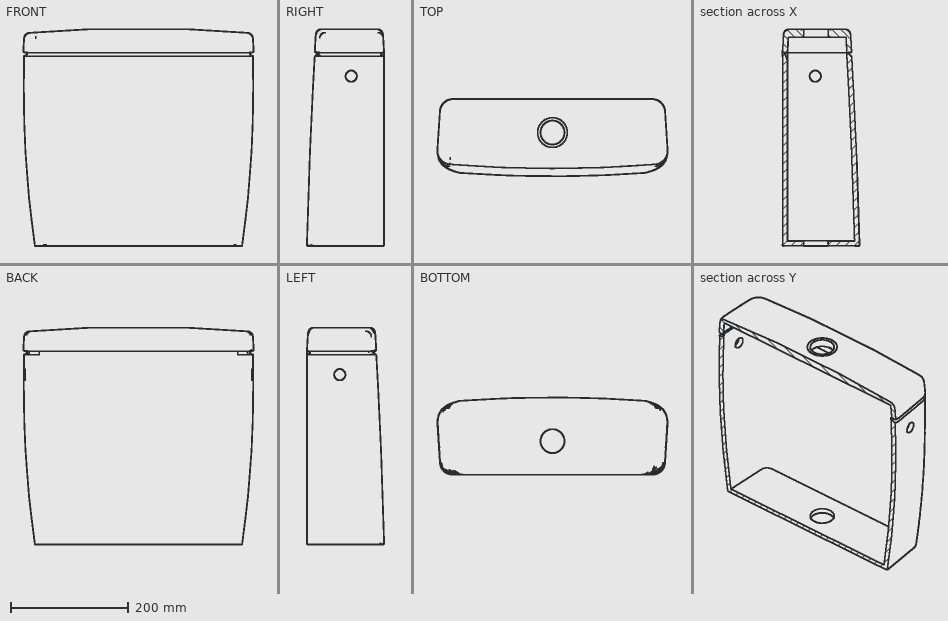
import cadquery as cq
import math


TANK_TOP = 330.0
TANK_HALF_WIDTH = 196.0
TANK_FOOT_NARROWING = 19.5
SIDE_STRAIGHT_FROM = 266.0
DEPTH_AT_FOOT = 132.0
DEPTH_AT_MIDDLE = 126.5
DEPTH_AT_TOP = 118.5
WALL = 9.0
FOOT_ROUNDING = 2.5
RIM_COVE_RADIUS = 6.0
MOUTH_FLARE_HEIGHT = 13.5
MOUTH_FLARE_WIDTH = 4.7

FRONT_BOW_RADIUS = 2162.5
SIDE_SPLAY = 0.06
CORNER_RADIUS = 22.0
BOW_TURN = 20
SPLAY_DEPTH = 94.5

TOP = 370.0
LID_HALF_WIDTH = 196.5
LID_DEPTH = 118.7
LID_DRAFT = 0.06
LID_TOP_ROUNDING = 10.2
LID_BOTTOM_ROUNDING = 3.0
LID_ROOF_THICKNESS = 14.0
ROOF_FLAT_HALF_LENGTH = 83.5
ROOF_SLOPE_RUN = 17.5
ROOF_CROWN_RADIUS = 1179.5
ROOF_BORDER_ABOVE = 358

BUTTON_DIAMETER = 40.5
BUTTON_SEAT_DIAMETER = 50.7
BUTTON_SEAT_DEPTH = 0.5
BUTTON_Y = -57.5
INLET_DIAMETER = 19.0
INLET_Y = -56.2
INLET_Z = 289.8

UPRIGHT_MIN_HEIGHT = 15.7
OVERSIZE = 39.5


def bore(plane, centre, diameter, length):
    """Cylinder of the given total length, half of it on either side of the plane."""
    return cq.Workplane(plane).center(*centre).circle(diameter / 2).extrude(length / 2, both=True)


def front_profile(half_width, y, bottom, top):
    """Outline in a plane of constant y, with sides that curve in toward the foot."""
    side_radius = (SIDE_STRAIGHT_FROM**2 + TANK_FOOT_NARROWING**2) / (2 * TANK_FOOT_NARROWING)

    def side(z):
        below = max(SIDE_STRAIGHT_FROM - z, 0)
        return half_width - side_radius + math.sqrt(side_radius**2 - below**2)

    middle = (bottom + SIDE_STRAIGHT_FROM) / 2
    return (
        cq.Workplane("XZ", origin=(0, y, 0))
        .moveTo(-side(bottom), bottom)
        .lineTo(side(bottom), bottom)
        .threePointArc((side(middle), middle), (half_width, SIDE_STRAIGHT_FROM))
        .lineTo(half_width, top)
        .lineTo(-half_width, top)
        .lineTo(-half_width, SIDE_STRAIGHT_FROM)
        .threePointArc((-side(middle), middle), (-side(bottom), bottom))
        .close()
        .val()
    )


def is_upright(edge):
    """True for the edges that climb a corner of a body."""
    return edge.BoundingBox().zlen > UPRIGHT_MIN_HEIGHT


def tank_block(inset, bottom, top):
    """Solid of the tank's shape, drawn in by `inset` on its four sides."""
    reach = DEPTH_AT_FOOT + OVERSIZE
    half_at_back = TANK_HALF_WIDTH - SPLAY_DEPTH * SIDE_SPLAY - inset
    back_profile = front_profile(half_at_back, -inset, bottom, top)
    far_profile = front_profile(half_at_back + reach * SIDE_SPLAY, -reach, bottom, top)
    splayed = cq.Workplane(cq.Solid.makeLoft([back_profile, far_profile], True))
    bow_axis_y = FRONT_BOW_RADIUS - DEPTH_AT_FOOT
    bowed = (
        cq.Workplane("YZ")
        .lineTo(inset - DEPTH_AT_FOOT, 0)
        .threePointArc((inset - DEPTH_AT_MIDDLE, TANK_TOP / 2), (inset - DEPTH_AT_TOP, TANK_TOP))
        .lineTo(0, TANK_TOP)
        .close()
        .revolve(BOW_TURN, (bow_axis_y, 0), (bow_axis_y, 1))
        .rotate((0, bow_axis_y, 0), (0, bow_axis_y, 1), -BOW_TURN / 2)
    )
    block = splayed.intersect(bowed)
    return block.edges().filter(is_upright).fillet(CORNER_RADIUS - inset)


def rim_cove(block):
    """Round-bottomed step along the front, sides and corners of the tank's top edge."""
    rim_edges = block.faces(">Z").edges("not >Y").vals()
    path = cq.Wire.assembleEdges(rim_edges)
    start = path.startPoint()
    return (
        cq.Workplane(cq.Plane(start, normal=path.tangentAt(0)))
        .circle(RIM_COVE_RADIUS)
        .sweep(cq.Workplane(path))
    )


def mouth_flare():
    """Wedge that slopes the top of the tank's back wall away from the cavity."""
    half_length = TANK_HALF_WIDTH - SPLAY_DEPTH * SIDE_SPLAY - CORNER_RADIUS
    return (
        cq.Workplane("YZ")
        .moveTo(-WALL, TANK_TOP - MOUTH_FLARE_HEIGHT)
        .lineTo(-WALL, TANK_TOP)
        .lineTo(MOUTH_FLARE_WIDTH - WALL, TANK_TOP)
        .close()
        .extrude(half_length, both=True)
    )


def make_tank():
    block = tank_block(0, 0, TANK_TOP)
    return (
        block.faces("<Z")
        .edges()
        .fillet(FOOT_ROUNDING)
        .cut(tank_block(WALL, WALL, TANK_TOP))
        .cut(rim_cove(block))
        .cut(mouth_flare())
        .cut(bore("YZ", (INLET_Y, INLET_Z), INLET_DIAMETER, 3 * TANK_HALF_WIDTH))
        .cut(bore("XY", (0, BUTTON_Y), BUTTON_DIAMETER, TANK_TOP))
    )


def lid_outline(inset, z):
    """Closed outline at height z: straight back, splayed sides and bowed front."""
    half_at_back = LID_HALF_WIDTH - SPLAY_DEPTH * SIDE_SPLAY - inset
    half_at_front = half_at_back + LID_DEPTH * SIDE_SPLAY
    bow = FRONT_BOW_RADIUS - math.sqrt(FRONT_BOW_RADIUS**2 - half_at_front**2)
    front = inset - LID_DEPTH
    return (
        cq.Workplane("XY", origin=(0, 0, z))
        .moveTo(-half_at_back, -inset)
        .lineTo(-half_at_front, front + bow)
        .threePointArc((0, front), (half_at_front, front + bow))
        .lineTo(half_at_back, -inset)
        .close()
        .val()
    )


def lid_block(inset, bottom, top):
    """Drafted solid of the lid's shape, drawn in by `inset` on its four sides."""
    lean = LID_DRAFT * (top - bottom)
    outlines = [lid_outline(inset, bottom), lid_outline(inset + lean, top)]
    block = cq.Workplane(cq.Solid.makeLoft(outlines, True))
    return block.edges().filter(is_upright).fillet(CORNER_RADIUS - inset)


def roof_slope(side):
    """Crowned cylinder whose top line falls from the flat middle of the roof to one end."""
    slope_angle = math.degrees(math.atan(1 / ROOF_SLOPE_RUN))
    ridge = cq.Workplane("YZ").circle(ROOF_CROWN_RADIUS).extrude(LID_HALF_WIDTH * 2, both=True)
    return (
        ridge.translate((0, BUTTON_Y, -ROOF_CROWN_RADIUS))
        .rotate((0, 0, 0), (0, 1, 0), side * slope_angle)
        .translate((side * ROOF_FLAT_HALF_LENGTH, 0, TOP))
    )


def is_roof_border(edge):
    """True for the edges round the roof, but not those where its slopes meet its flat."""
    return edge.BoundingBox().zmin > ROOF_BORDER_ABOVE and edge.geomType() != "ELLIPSE"


def make_lid():
    body = lid_block(0, TANK_TOP, TOP)
    for side in (-1, 1):
        body = body.intersect(roof_slope(side))
    body = body.faces("<Z").edges().fillet(LID_BOTTOM_ROUNDING)
    body = body.edges().filter(is_roof_border).fillet(LID_TOP_ROUNDING)
    seat = bore("XY", (0, BUTTON_Y), BUTTON_SEAT_DIAMETER, 2 * BUTTON_SEAT_DEPTH)
    return (
        body.cut(lid_block(WALL, TANK_TOP, TOP - LID_ROOF_THICKNESS))
        .cut(bore("XY", (0, BUTTON_Y), BUTTON_DIAMETER, 2 * OVERSIZE).translate((0, 0, TOP)))
        .cut(seat.translate((0, 0, TOP)))
    )


tank = make_tank().solids()
lid = make_lid().solids()
result = cq.Compound.makeCompound([tank.val(), lid.val()])